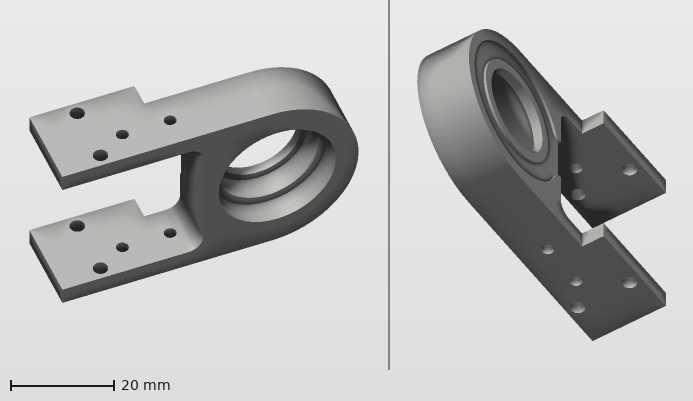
import cadquery as cq

total_length = 62.0
total_height = 36.0
body_width = 12.0
plate_width = 17.0

end_radius = total_height / 2
tip_wall = 17.0
tip_y = tip_wall
end_arc_center_y = tip_y - end_radius
fork_end_y = tip_y - total_length

plate_thickness = 3.75
plate_length = 22.0
fork_gap = total_height - 2 * plate_thickness
fork_depth = 29.5
fork_corner_radius = 3.0
fork_root_y = fork_end_y + fork_depth

outer_face_x = 0.0
back_face_x = outer_face_x + body_width
plate_edge_x = back_face_x - plate_width

bore_steps = [(9.0, 0.0), (10.5, 2.0), (12.25, 7.0)]

relief_radius = 15.0
relief_depth = 0.6
rim_radius = 11.0
channel_width = 10.0
channel_blend_radius = 2.0

center_hole_diameter = 2.5
center_hole_distances = [15.0, 25.0]
center_hole_x = outer_face_x + body_width / 2
side_hole_diameter = 3.0
side_hole_distance = 9.0
side_hole_margin = 2.5


def block(x_min, x_max, y_min, y_max, height):
    """Box between the given X and Y limits, centred on Z = 0."""
    return (
        cq.Workplane("XY")
        .box(x_max - x_min, y_max - y_min, height, centered=(False, False, True))
        .translate((x_min, y_min, 0))
    )


def x_cylinder(radius, x_min, x_max):
    """Cylinder on the bearing axis between two X positions."""
    return cq.Workplane("YZ").workplane(offset=x_min).circle(radius).extrude(x_max - x_min)


def make_body():
    """Rounded body with the two wider plates, before the fork is opened."""
    half_height = total_height / 2
    body = (
        cq.Workplane("YZ")
        .workplane(offset=outer_face_x)
        .moveTo(fork_end_y, -half_height)
        .lineTo(end_arc_center_y, -half_height)
        .threePointArc((tip_y, 0), (end_arc_center_y, half_height))
        .lineTo(fork_end_y, half_height)
        .close()
        .extrude(body_width)
    )
    wide_end = block(plate_edge_x, back_face_x, fork_end_y, fork_end_y + plate_length, total_height)
    return body.union(wide_end)


def make_fork_opening():
    """Gap between the plates, with rounded corners at its root."""
    opening = block(plate_edge_x, back_face_x, fork_end_y, fork_root_y, fork_gap)
    return opening.edges("|X and >Y").fillet(fork_corner_radius)


def make_bore():
    """Bore made of coaxial steps, each running on to the back face."""
    bore = cq.Workplane("YZ")
    for radius, depth in bore_steps:
        bore = bore.union(x_cylinder(radius, outer_face_x + depth, back_face_x))
    return bore


def make_relief():
    """Ring-shaped relief joined to the fork by a channel with blended corners."""
    floor_x = outer_face_x + relief_depth
    disc = x_cylinder(relief_radius, outer_face_x, floor_x)
    channel = block(outer_face_x, floor_x, fork_end_y, 0, channel_width)
    relief = disc.union(channel)
    channel_mouth = cq.selectors.BoxSelector(
        (outer_face_x - relief_depth, -relief_radius, -channel_width),
        (floor_x + relief_depth, 0, channel_width),
    )
    relief = relief.edges("|X").edges(channel_mouth).fillet(channel_blend_radius)
    return relief.cut(x_cylinder(rim_radius, outer_face_x, floor_x))


def make_holes(positions, diameter):
    """Vertical holes through both plates at the given (x, y) positions."""
    return (
        cq.Workplane("XY")
        .workplane(offset=-total_height / 2)
        .pushPoints(positions)
        .circle(diameter / 2)
        .extrude(total_height)
    )


center_holes = [(center_hole_x, fork_end_y + distance) for distance in center_hole_distances]
side_holes = [
    (x, fork_end_y + side_hole_distance)
    for x in (plate_edge_x + side_hole_margin, back_face_x - side_hole_margin)
]

result = (
    make_body()
    .cut(make_fork_opening())
    .cut(make_bore())
    .cut(make_relief())
    .cut(make_holes(center_holes, center_hole_diameter))
    .cut(make_holes(side_holes, side_hole_diameter))
)